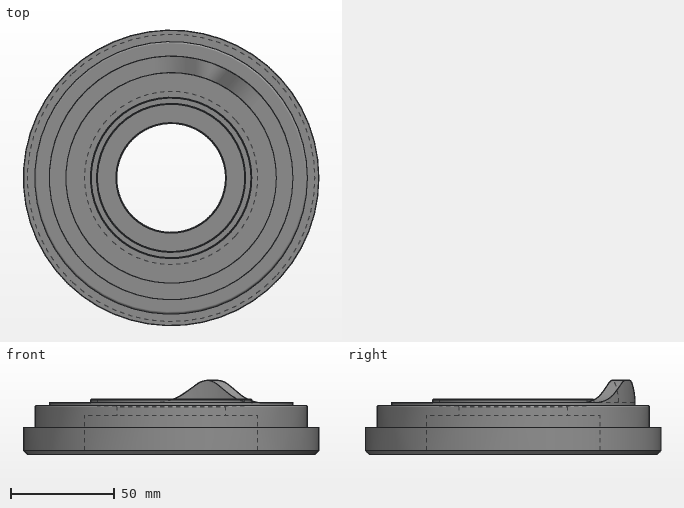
import cadquery as cq
import math

flange_radius = 71.5
flange_height = 13.2
flange_chamfer = 2.0
body_radius = 65.9
body_top = 23.9
body_fillet = 1.0

track_outer_radius = 58.9
track_inner_radius = 50.9
track_top = 25.2

collar_radius = 39.0
collar_inner_radius = 35.6
collar_top = 26.9
collar_chamfer = 0.5
seat_level = 23.6

bore_radius = 26.3
bore_chamfer = 0.5
web_thickness = 4.7
recess_radius = 41.9
recess_depth = seat_level - web_thickness

cam_top = 36.0
cam_start = -8.0
foot_radius = 25.0
crest_radius = 10.0
ramp_angle = math.radians(36)
cam_bisector = 70.0


def disc(radius, bottom, top):
    """Upright cylinder on the Z axis between two levels."""
    return cq.Workplane("XY").workplane(offset=bottom).circle(radius).extrude(top - bottom)


def ring(outer_radius, inner_radius, bottom, top):
    """Flat ring on the Z axis between two levels."""
    return disc(outer_radius, bottom, top).cut(disc(inner_radius, bottom, top))


def make_base():
    """Stepped disc: flange, body, cam track and collar, with a seat inside the collar."""
    flange = disc(flange_radius, 0, flange_height).faces("<Z").chamfer(flange_chamfer)
    body = disc(body_radius, flange_height, body_top).faces(">Z").edges().fillet(body_fillet)
    seat = disc(collar_inner_radius, seat_level, body_top)
    track = ring(track_outer_radius, track_inner_radius, body_top, track_top)
    collar = ring(collar_radius, collar_inner_radius, body_top, collar_top)
    collar = collar.faces(">Z").chamfer(collar_chamfer)
    return flange.union(body).cut(seat).union(track).union(collar)


def make_ramp():
    """Ramp rising along +X, flat beyond the crest, extruded along +Y."""
    sine = math.sin(ramp_angle)
    cosine = math.cos(ramp_angle)
    half_sine = math.sin(ramp_angle / 2)
    half_cosine = math.cos(ramp_angle / 2)
    foot_rise = foot_radius * (1 - cosine)
    crest_rise = crest_radius * (1 - cosine)
    straight_rise = cam_top - track_top - foot_rise - crest_rise
    foot_end = cam_start + foot_radius * sine
    straight_end = foot_end + straight_rise / math.tan(ramp_angle)
    crest_start = straight_end + crest_radius * sine
    return (
        cq.Workplane("XZ")
        .moveTo(cam_start, body_top)
        .lineTo(cam_start, track_top)
        .threePointArc(
            (cam_start + foot_radius * half_sine, track_top + foot_radius * (1 - half_cosine)),
            (foot_end, track_top + foot_rise),
        )
        .lineTo(straight_end, track_top + foot_rise + straight_rise)
        .threePointArc(
            (crest_start - crest_radius * half_sine, cam_top - crest_radius * (1 - half_cosine)),
            (crest_start, cam_top),
        )
        .lineTo(flange_radius, cam_top)
        .lineTo(flange_radius, body_top)
        .close()
        .extrude(-flange_radius)
    )


def make_cam():
    """Keep what lies under both ramps and within the track's width."""
    turn = 90 - cam_bisector
    origin = (0, 0, 0)
    z_axis = (0, 0, 1)
    ramp = make_ramp()
    mirrored = ramp.rotate(origin, z_axis, turn).mirror("YZ").rotate(origin, z_axis, -turn)
    annulus = ring(track_outer_radius, track_inner_radius, body_top, cam_top)
    return ramp.intersect(mirrored).intersect(annulus)


def make_bore():
    """Underside recess, through bore and the chamfer at the bore's upper rim."""
    recess = disc(recess_radius, 0, recess_depth)
    bore = disc(bore_radius, 0, seat_level)
    rim = (
        cq.Workplane("XY")
        .workplane(offset=seat_level)
        .circle(bore_radius + bore_chamfer)
        .extrude(-bore_chamfer, taper=45)
    )
    return recess.union(bore).union(rim)


result = make_base().union(make_cam()).cut(make_bore())